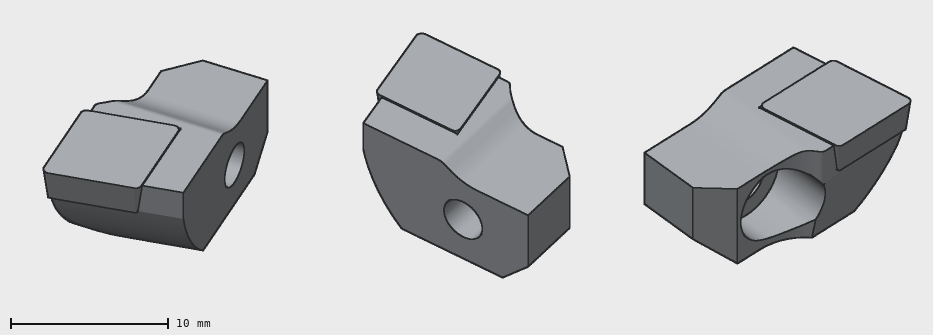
import cadquery as cq
import math


tail_width = 6.52
tail_height = 6.42
tail_length = 4.0
tail_chamfer = 2.0
head_width = 8.53
head_height = 7.46
side_sweep_radius = 4.12
side_corner_radius = 0.5
top_sweep_radius = 3.88
top_corner_radius = 0.98
top_sweep_angle = 31.0
front_offset = 12.9
lead_angle = 10.0
draft_angle = 7.0
side_draft_height = 4.8
front_curve_setback = 2.97
front_curve_radius = 10.0
corner_relief_offset = 10.79
corner_relief_top_offset = 14.17
corner_relief_height = 4.28
margin = 4.48

hole_diameter = 3.0
counterbore_diameter = 5.6
hole_offset = 5.09
hole_height = 3.35
counterbore_floor = 4.0

insert_width = 6.35
insert_thickness = 2.39
insert_top = 7.6
insert_left = -9.0
insert_front = -14.92
insert_corner_radius = 0.4
seat_height = insert_top - insert_thickness

lead = math.radians(lead_angle)
draft = math.radians(draft_angle)


def holder_plan():
    """Full-height block with the swept step from the tail to the wider head."""
    step = head_width - tail_width
    sweep_length = math.sqrt(side_sweep_radius**2 - (side_sweep_radius - step) ** 2)
    half_angle = math.asin(sweep_length / side_sweep_radius) / 2
    sweep_middle = (
        -tail_width - side_sweep_radius * (1 - math.cos(half_angle)),
        -tail_length - side_sweep_radius * math.sin(half_angle),
    )
    sweep_end = (-head_width, -tail_length - sweep_length)
    block = (
        cq.Workplane("XY")
        .moveTo(0, 0)
        .lineTo(-tail_width + tail_chamfer, 0)
        .lineTo(-tail_width, -tail_chamfer)
        .lineTo(-tail_width, -tail_length)
        .threePointArc(sweep_middle, sweep_end)
        .lineTo(-head_width, -front_offset - head_width * math.tan(lead))
        .lineTo(0, -front_offset)
        .close()
        .extrude(head_height)
    )
    corner = cq.selectors.NearestToPointSelector((*sweep_end, head_height / 2))
    return block.edges("|Z").edges(corner).fillet(side_corner_radius)


def holder_side_profile():
    """Side outline: chamfered tail, then an S-shaped rise to the head."""
    angle = math.radians(top_sweep_angle)
    rise = head_height - tail_height
    arcs_rise = (top_sweep_radius + top_corner_radius) * (1 - math.cos(angle))
    ramp_length = (rise - arcs_rise) / math.tan(angle)

    def hollow(turn):
        return (
            -tail_length - top_sweep_radius * math.sin(turn),
            tail_height + top_sweep_radius * (1 - math.cos(turn)),
        )

    crest_start = -tail_length - top_sweep_radius * math.sin(angle) - ramp_length
    crest_end = crest_start - top_corner_radius * math.sin(angle)

    def crest(turn):
        return (
            crest_end + top_corner_radius * math.sin(turn),
            head_height - top_corner_radius * (1 - math.cos(turn)),
        )

    front_end = insert_front - margin
    return (
        cq.Workplane("YZ")
        .moveTo(-tail_chamfer, 0)
        .lineTo(0, tail_chamfer)
        .lineTo(0, tail_height)
        .lineTo(-tail_length, tail_height)
        .threePointArc(hollow(angle / 2), hollow(angle))
        .lineTo(*crest(angle))
        .threePointArc(crest(angle / 2), crest(0))
        .lineTo(front_end, head_height)
        .lineTo(front_end, 0)
        .close()
        .extrude(-head_width - margin)
    )


def side_draft_cutter():
    """Wedge that leans the head side inward towards the underside."""
    return (
        cq.Workplane("XZ")
        .moveTo(-head_width, side_draft_height)
        .lineTo(-head_width + side_draft_height * math.tan(draft), 0)
        .lineTo(-head_width, 0)
        .close()
        .extrude(-insert_front + margin)
    )


def front_curve_cutter():
    """Rounded undercut running along the slanted front face."""
    return (
        cq.Workplane("YZ")
        .moveTo(front_curve_setback, 0)
        .radiusArc((0, seat_height), front_curve_radius)
        .lineTo(-margin, seat_height)
        .lineTo(-margin, 0)
        .close()
        .extrude(head_width + margin, both=True)
        .rotate((0, 0, 0), (0, 0, 1), lead_angle)
        .translate((0, -front_offset, 0))
    )


def corner_relief_cutter():
    """Rounded undercut parallel to X that clears the lower front corner."""
    outer = insert_front - margin
    return (
        cq.Workplane("YZ")
        .moveTo(-corner_relief_offset, 0)
        .radiusArc((-corner_relief_top_offset, corner_relief_height), front_curve_radius)
        .lineTo(outer, corner_relief_height)
        .lineTo(outer, 0)
        .close()
        .extrude(-head_width - margin)
    )


def screw_hole_cutter():
    """Through hole with a counterbore from the -X side."""
    hole_side = cq.Workplane("YZ").center(-hole_offset, hole_height)
    hole = hole_side.circle(hole_diameter / 2).extrude(-head_width)
    counterbore = (
        hole_side.workplane(offset=-counterbore_floor)
        .circle(counterbore_diameter / 2)
        .extrude(-head_width)
    )
    return hole.union(counterbore)


def tapered_rhombus(corner_radius):
    """Rhombic plate whose flanks lean inward from the top face down to the seat."""
    right = insert_left + insert_width
    slant_rise = insert_width * math.tan(lead)
    side_length = insert_width / math.cos(lead)
    corner_overshoot = insert_corner_radius * (1 / math.cos(lead) + math.tan(lead) - 1)
    front = insert_front - corner_overshoot
    outline = cq.Sketch().polygon(
        [
            (insert_left, front),
            (right, front + slant_rise),
            (right, front + slant_rise + side_length),
            (insert_left, front + side_length),
            (insert_left, front),
        ]
    )
    if corner_radius > 0:
        outline = outline.vertices().fillet(corner_radius)
    return (
        cq.Workplane("XY", origin=(0, 0, insert_top))
        .placeSketch(outline)
        .extrude(-insert_thickness, taper=draft_angle)
    )


def make_holder():
    """Holder with a sharp-cornered pocket for the insert."""
    return (
        holder_plan()
        .intersect(holder_side_profile())
        .cut(side_draft_cutter())
        .cut(front_curve_cutter())
        .cut(corner_relief_cutter())
        .cut(screw_hole_cutter())
        .cut(tapered_rhombus(0))
    )


def make_insert():
    """Cutting insert with rounded corners."""
    return tapered_rhombus(insert_corner_radius)


holder = make_holder()
insert = make_insert()
result = cq.Compound.makeCompound([holder.val(), insert.val()])